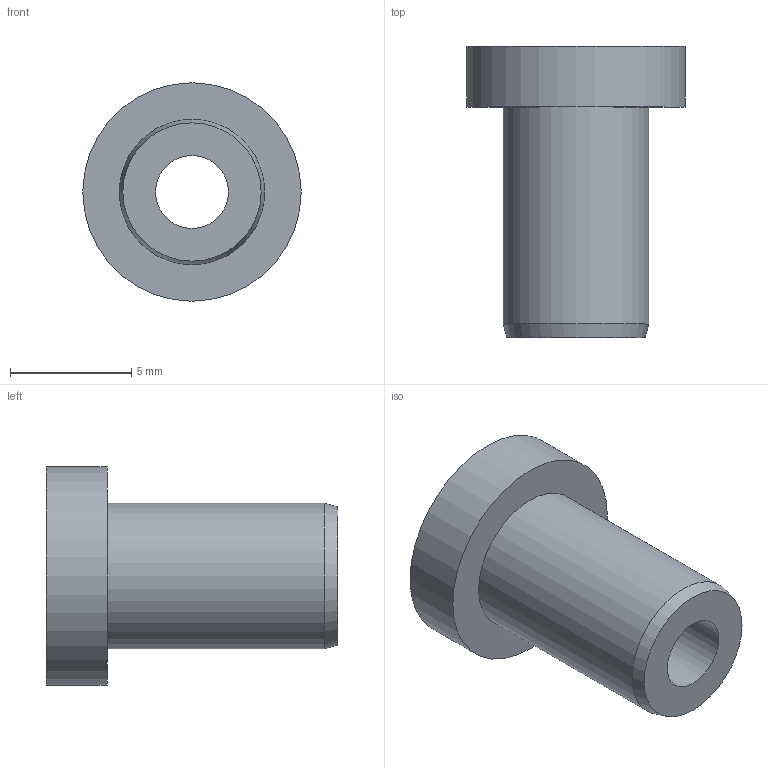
import cadquery as cq
import math

total_length = 12.0
head_diameter = 9.0
head_length = 2.5
shank_diameter = 6.0
bore_diameter = 3.0

taper_angle = 15.0
taper_depth = 0.15
taper_length = taper_depth / math.tan(math.radians(taper_angle))

head_radius = head_diameter / 2
shank_radius = shank_diameter / 2
bore_radius = bore_diameter / 2
shoulder_y = total_length - head_length


def make_bush():
    """Revolve the half section, bore included, about the Y axis."""
    half_section = [
        (bore_radius, 0),
        (shank_radius - taper_depth, 0),
        (shank_radius, taper_length),
        (shank_radius, shoulder_y),
        (head_radius, shoulder_y),
        (head_radius, total_length),
        (bore_radius, total_length),
    ]
    profile = cq.Workplane("XY").polyline(half_section).close()
    return profile.revolve(360, (0, 0, 0), (0, 1, 0))


result = make_bush()